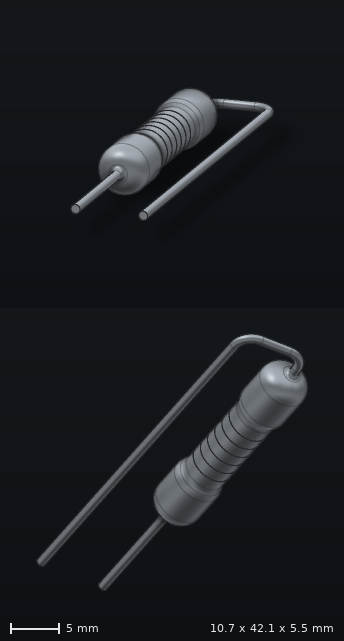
import cadquery as cq
import math

lead_diameter = 1.0
lead_pitch = 7.45
bend_radius = 2.0
lead_tip_y = -26.15
fold_outer_y = 15.95

cap_diameter = 5.5
core_diameter = 4.67
band_diameter = 4.7
cap_inner_y = 6.78
cap_outer_y = 10.6
core_half_length = 5.15
dome_radius = 1.9
lead_fillet_radius = 0.55
segment_count = 7

lead_radius = lead_diameter / 2
cap_radius = cap_diameter / 2
core_radius = core_diameter / 2


def cap():
    """Return the solid +Y cap, from its core shoulder to its lead fillet."""
    shoulder_length = cap_inner_y - core_half_length
    shoulder_rise = cap_radius - core_radius
    shoulder_middle = (
        core_radius + shoulder_rise / 2,
        core_half_length + shoulder_length / 2,
    )
    shoulder_arc_radius = (shoulder_length**2 + shoulder_rise**2) / (4 * shoulder_rise)

    dome_centre_x = cap_radius - dome_radius
    fillet_centre_x = lead_radius + lead_fillet_radius
    centre_distance = dome_radius + lead_fillet_radius
    centre_offset = fillet_centre_x - dome_centre_x
    fillet_end_y = cap_outer_y + math.sqrt(centre_distance**2 - centre_offset**2)
    dome_share = dome_radius / centre_distance
    dome_end = (
        dome_centre_x + centre_offset * dome_share,
        cap_outer_y + (fillet_end_y - cap_outer_y) * dome_share,
    )

    dome_middle_angle = math.atan2(dome_end[1] - cap_outer_y, centre_offset * dome_share) / 2
    dome_middle = (
        dome_centre_x + dome_radius * math.cos(dome_middle_angle),
        cap_outer_y + dome_radius * math.sin(dome_middle_angle),
    )

    profile = (
        cq.Workplane("XY")
        .moveTo(0, fillet_end_y)
        .lineTo(0, core_half_length)
        .lineTo(core_radius, core_half_length)
        .radiusArc(shoulder_middle, shoulder_arc_radius)
        .radiusArc((cap_radius, cap_inner_y), -shoulder_arc_radius)
        .lineTo(cap_radius, cap_outer_y)
        .threePointArc(dome_middle, dome_end)
        .radiusArc((lead_radius, fillet_end_y), lead_fillet_radius)
        .close()
    )
    return profile.revolve(360, (0, 0), (0, 1))


def cylinder(diameter, start_y, length):
    """Return a cylinder on the Y axis, running toward +Y from start_y."""
    return cq.Workplane("XZ", origin=(0, start_y, 0)).circle(diameter / 2).extrude(-length)


def core():
    """Return the core with raised bands in every second segment, leaving both ends bare."""
    segment_length = 2 * core_half_length / segment_count
    solid = cylinder(core_diameter, -core_half_length, 2 * core_half_length)
    for segment in range(1, segment_count, 2):
        band_start = -core_half_length + segment * segment_length
        solid = solid.union(cylinder(band_diameter, band_start, segment_length))
    return solid


def lead():
    """Return the wire through the body, folded over beyond the +Y cap."""
    fold_y = fold_outer_y - lead_radius
    bend_start_y = fold_y - bend_radius
    path = (
        cq.Workplane("XY")
        .moveTo(0, lead_tip_y)
        .lineTo(0, bend_start_y)
        .radiusArc((bend_radius, fold_y), bend_radius)
        .lineTo(lead_pitch - bend_radius, fold_y)
        .radiusArc((lead_pitch, bend_start_y), bend_radius)
        .lineTo(lead_pitch, lead_tip_y)
    )
    return cq.Workplane("XZ", origin=(0, lead_tip_y, 0)).circle(lead_radius).sweep(path)


upper_cap = cap()
lower_cap = upper_cap.mirror("XZ")
result = core().union(upper_cap).union(lower_cap).union(lead())